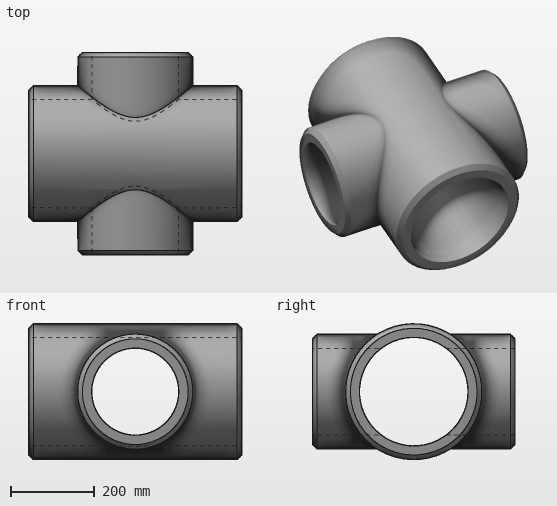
import cadquery as cq

run_length = 508.0
run_outer_diameter = 324.0
run_bore_diameter = 258.0
branch_length = 482.5
branch_outer_diameter = 274.5
branch_bore_diameter = 207.0
end_chamfer = 11.0


def centered_cylinder(plane, diameter, length):
    """Solid cylinder centred on the origin, along the normal of the plane."""
    return cq.Workplane(plane).circle(diameter / 2).extrude(length / 2, both=True)


run = centered_cylinder("YZ", run_outer_diameter, run_length).faces("<X or >X").chamfer(end_chamfer)
branches = (
    centered_cylinder("XZ", branch_outer_diameter, branch_length)
    .faces("<Y or >Y")
    .chamfer(end_chamfer)
)

run_bore = centered_cylinder("YZ", run_bore_diameter, run_length)
branch_bore = centered_cylinder("XZ", branch_bore_diameter, branch_length)

result = run.union(branches).cut(run_bore).cut(branch_bore)